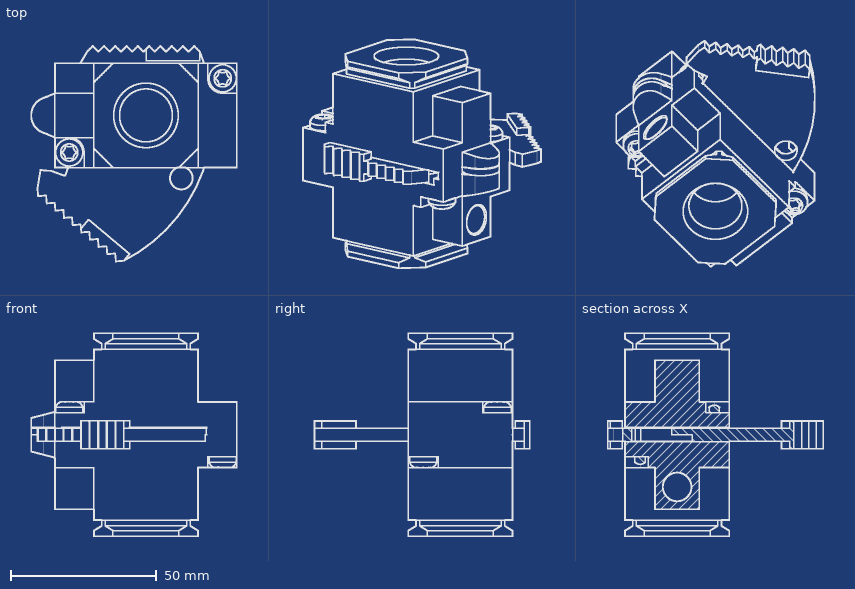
import cadquery as cq
import math

total_height = 69.6
half_width = 17.9
column_half_height = 29.25
lip_thickness = 2.0
lip_taper_height = 1.6
neck_half_width = 15.2
corner_cut = 6.6
bar_half_length = 31.15
bar_half_height = 11.3
tab_half_width = 7.6
tab_half_height = 25.55

port_radius = 9.1
port_mouth_radius = 11.1
port_mouth_depth = 3.7
port_depth = 22.15
side_port_z = -17.9
side_port_radius = 4.9
side_port_chamfer = 0.45
side_port_depth = 11.8

pivot_x = -33.0
nose_radius = 6.35
nose_flank_angle = 20.0
nose_tip_half_height = 5.75
nose_root_half_height = 7.9

screw_head_radius = 4.65
screw_head_height = 3.7
screw_rim_height = 1.85
screw_top_radius = 2.95
screw_dome_radius = 4.0
screw_dome_height = 2.95
recess_radius = 5.1
screw_x = 26.3
screw_y = tab_half_width + recess_radius
recess_floor_z = bar_half_height - screw_head_height
socket_tip_radius = 2.9
socket_valley_radius = 1.9
socket_lobes = 6
socket_depth = 1.5

dial_half_thickness = 2.3
dial_tilt = 20.0
row_turn = 20.0
tooth_count = 10
tip_distance = 23.8
first_tip = 14.8
last_tip = 49.55
thick_start = 33.15
thick_distance = 18.75
thick_half_thickness = 4.8
arm_radius = 18.9
shoulder_x = 12.0
shoulder_y = 17.65
hub_side_angle = 60.0
dial_hole_x = 45.1
dial_hole_y = -21.5
dial_hole_radius = 3.85

tooth_pitch = (last_tip - first_tip) / (tooth_count - 1)
root_distance = tip_distance - tooth_pitch / 2
last_root = last_tip + tooth_pitch / 2
rim_radius = math.hypot(last_root, root_distance)

upper_pocket_top = 2.5
upper_pocket_wall_x = -28.8
upper_pocket_radius = 56.6
lower_pocket_wall_x = -26.95
lower_pocket_radius = 56.2


def polar(radius, angle):
    """Point at a radius and an angle in degrees."""
    return (radius * math.cos(math.radians(angle)), radius * math.sin(math.radians(angle)))


def block(x_range, y_range, z_range):
    """Box between two limits along each axis."""
    (x0, x1), (y0, y1), (z0, z1) = x_range, y_range, z_range
    return cq.Workplane("XY").box(x1 - x0, y1 - y0, z1 - z0, centered=False).translate((x0, y0, z0))



def lip():
    """Neck and tapered lip on top of the column, with the corners cut off."""
    top = total_height / 2
    taper_top = top - lip_thickness
    taper_bottom = taper_top - lip_taper_height
    neck = block(
        (-neck_half_width, neck_half_width),
        (-neck_half_width, neck_half_width),
        (column_half_height, taper_bottom),
    )
    taper = (
        cq.Workplane("XY").workplane(offset=taper_bottom)
        .rect(2 * neck_half_width, 2 * neck_half_width)
        .workplane(offset=lip_taper_height)
        .rect(2 * half_width, 2 * half_width)
        .loft(ruled=True)
    )
    plate = block((-half_width, half_width), (-half_width, half_width), (taper_top, top))
    corner_prism = (
        block((-half_width, half_width), (-half_width, half_width), (column_half_height, top))
        .edges("|Z").chamfer(corner_cut)
    )
    return neck.union(taper).union(plate).intersect(corner_prism)


def port():
    """Round blind port from the top, with a flared mouth."""
    top = total_height / 2
    mouth_bottom = top - port_mouth_depth
    floor = top - port_depth
    return (
        cq.Workplane("XZ")
        .polyline([
            (0, floor), (port_radius, floor), (port_radius, mouth_bottom), (port_mouth_radius, top), (0, top),
        ])
        .close()
        .revolve(360, (0, 0, 0), (0, 1, 0))
    )


def side_port():
    """Round blind port in the tab, with a chamfered mouth."""
    mouth_radius = side_port_radius + side_port_chamfer
    return (
        cq.Workplane("XY")
        .polyline([
            (0, 0), (0, mouth_radius), (side_port_chamfer, side_port_radius),
            (side_port_depth, side_port_radius), (side_port_depth, 0),
        ])
        .close()
        .revolve(360, (0, 0, 0), (1, 0, 0))
        .translate((-bar_half_length, 0, side_port_z))
    )


def nose():
    """Rounded nose whose top and bottom slope down to its tip."""
    tangent_x, tangent_y = polar(nose_radius, 90 + nose_flank_angle)
    tangent_x += pivot_x
    tip_x = pivot_x - nose_radius
    outline = (
        cq.Workplane("XY").workplane(offset=-nose_root_half_height)
        .moveTo(-bar_half_length, tab_half_width)
        .lineTo(tangent_x, tangent_y)
        .threePointArc((tip_x, 0), (tangent_x, -tangent_y))
        .lineTo(-bar_half_length, -tab_half_width)
        .close()
        .extrude(2 * nose_root_half_height)
    )
    side = (
        cq.Workplane("XZ")
        .polyline([
            (tip_x, -nose_tip_half_height), (tip_x, nose_tip_half_height),
            (-bar_half_length, nose_root_half_height), (-bar_half_length, -nose_root_half_height),
        ])
        .close()
        .extrude(half_width, both=True)
    )
    return outline.intersect(side)


def screw_recess():
    """Recess in the -X, -Y corner of the crossbar top, open to both sides."""
    inner_x = -screw_x + recess_radius
    corner = block(
        (-bar_half_length, inner_x), (-half_width, -tab_half_width), (recess_floor_z, bar_half_height)
    )
    return corner.edges("|Z and >X and >Y").fillet(recess_radius)


def pocket_step(wall_x, radius, bottom, height):
    """Slot through the housing from -Y to +Y with a flat -X wall and a rounded +X wall."""
    rim_x = pivot_x + math.sqrt(radius**2 - half_width**2)
    return (
        cq.Workplane("XY").workplane(offset=bottom)
        .moveTo(wall_x, -half_width)
        .lineTo(rim_x, -half_width)
        .threePointArc((pivot_x + radius, 0), (rim_x, half_width))
        .lineTo(wall_x, half_width)
        .close()
        .extrude(height)
    )


def hub_slit():
    """Slit through the upper half of the nose, as wide as the tab, into the upper pocket step."""
    return block(
        (pivot_x - nose_radius, upper_pocket_wall_x), (-tab_half_width, tab_half_width), (0, upper_pocket_top)
    )


def at_screws(shape):
    """Copies of a shape made for the -X, -Y upper corner, one at each of the four screw places."""
    upper = [shape, shape.rotate((0, 0, 0), (0, 0, 1), 180)]
    lower = [copy.rotate((0, 0, 0), (1, 0, 0), 180) for copy in upper]
    return upper + lower


def make_housing():
    body = block(
        (-half_width, half_width), (-half_width, half_width), (-column_half_height, column_half_height)
    )
    body = body.union(block(
        (-bar_half_length, bar_half_length), (-half_width, half_width), (-bar_half_height, bar_half_height)
    ))
    body = body.union(block(
        (-bar_half_length, 0), (-tab_half_width, tab_half_width), (-tab_half_height, tab_half_height)
    ))
    body = body.union(nose())
    body = body.union(lip()).union(lip().mirror("XY"))
    body = body.cut(port()).cut(port().mirror("XY")).cut(side_port())
    for recess in at_screws(screw_recess()):
        body = body.cut(recess)
    upper_step = pocket_step(upper_pocket_wall_x, upper_pocket_radius, 0, upper_pocket_top)
    lower_step = pocket_step(
        lower_pocket_wall_x, lower_pocket_radius, -dial_half_thickness, dial_half_thickness
    )
    return body.cut(upper_step).cut(lower_step).cut(hub_slit())



def make_screw():
    """Screw head with a domed edge and a six-lobed socket, in the -X, -Y upper corner."""
    head = (
        cq.Workplane("XZ")
        .lineTo(screw_head_radius, 0)
        .lineTo(screw_head_radius, screw_rim_height)
        .threePointArc((screw_dome_radius, screw_dome_height), (screw_top_radius, screw_head_height))
        .lineTo(0, screw_head_height)
        .close()
        .revolve(360, (0, 0, 0), (0, 1, 0))
    )
    lobe_angle = 360 / socket_lobes
    socket = cq.Workplane("XY").workplane(offset=screw_head_height - socket_depth)
    socket = socket.moveTo(socket_tip_radius, 0)
    for lobe in range(socket_lobes):
        valley = polar(socket_valley_radius, (lobe + 0.5) * lobe_angle)
        tip = polar(socket_tip_radius, (lobe + 1) * lobe_angle)
        socket = socket.threePointArc(valley, tip)
    socket = socket.close().extrude(socket_depth)
    return head.cut(socket).translate((-screw_x, -screw_y, recess_floor_z))



def from_row(along, away):
    """Point of the upper tooth row, turned into the dial's own axes."""
    turn = math.radians(row_turn)
    return (
        along * math.cos(turn) - away * math.sin(turn),
        along * math.sin(turn) + away * math.cos(turn),
    )


def mirrored(point):
    return (point[0], -point[1])


def tooth_points():
    """Zigzag of the upper tooth row, from its inner root to its root on the rim."""
    points = [from_row(first_tip - tooth_pitch / 2, root_distance)]
    for tooth in range(tooth_count):
        tip = first_tip + tooth * tooth_pitch
        points.append(from_row(tip, tip_distance))
        points.append(from_row(tip + tooth_pitch / 2, root_distance))
    return points


def dial_prism(half_thickness):
    """Toothed outline of the dial, with its pivot at the origin and its axis along +X."""
    shoulder = (shoulder_x, shoulder_y)
    arm_inner = (math.sqrt(arm_radius**2 - shoulder_y**2), shoulder_y)
    teeth = tooth_points()
    inner_angle = math.degrees(math.atan2(arm_inner[1], arm_inner[0]))
    outer_angle = math.degrees(math.atan2(teeth[0][1], teeth[0][0]))
    arm_outer = polar(arm_radius, outer_angle)
    arm_middle = polar(arm_radius, (inner_angle + outer_angle) / 2)
    outline = (
        cq.Workplane("XY").workplane(offset=-half_thickness)
        .moveTo(*shoulder)
        .lineTo(*arm_inner)
        .threePointArc(arm_middle, arm_outer)
    )
    for point in teeth:
        outline = outline.lineTo(*point)
    outline = outline.threePointArc((rim_radius, 0), mirrored(teeth[-1]))
    for point in reversed(teeth[:-1]):
        outline = outline.lineTo(*mirrored(point))
    return (
        outline.lineTo(*mirrored(arm_outer))
        .threePointArc(mirrored(arm_middle), mirrored(arm_inner))
        .lineTo(*mirrored(shoulder))
        .close()
        .extrude(2 * half_thickness)
    )


def thick_zone():
    """Rectangle over the outer half of the upper tooth row, as high as the thick teeth."""
    zone = block(
        (thick_start, last_root),
        (thick_distance, tip_distance),
        (-thick_half_thickness, thick_half_thickness),
    )
    return zone.rotate((0, 0, 0), (0, 0, 1), row_turn)


def hub():
    """Round hub on the pivot and the bar that joins it to the shoulder; they fill the upper half only."""
    side_start = polar(nose_radius, hub_side_angle)
    return (
        cq.Workplane("XY")
        .moveTo(shoulder_x, side_start[1])
        .lineTo(*side_start)
        .threePointArc((-nose_radius, 0), mirrored(side_start))
        .lineTo(shoulder_x, -side_start[1])
        .close()
        .extrude(dial_half_thickness)
    )


def make_dial():
    upper_zone = thick_zone()
    thick_teeth = dial_prism(thick_half_thickness).intersect(upper_zone.union(upper_zone.mirror("XZ")))
    dial = dial_prism(dial_half_thickness).union(hub()).union(thick_teeth)
    dial = dial.rotate((0, 0, 0), (0, 0, 1), -dial_tilt)
    hole = (
        cq.Workplane("XY").workplane(offset=-dial_half_thickness)
        .center(dial_hole_x, dial_hole_y)
        .circle(dial_hole_radius)
        .extrude(2 * dial_half_thickness)
    )
    return dial.cut(hole).translate((pivot_x, 0, 0))


housing = make_housing()
screws = at_screws(make_screw())
dial = make_dial()

result = cq.Compound.makeCompound(
    [body.solids().val() for body in (housing, *screws, dial)]
)